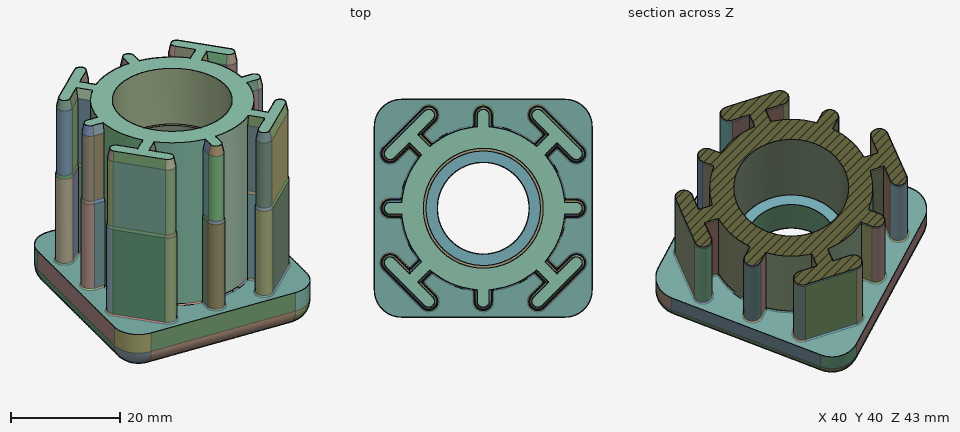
import cadquery as cq
import math

BASE_SIDE = 40.0
BASE_HEIGHT = 8.0
BASE_CORNER_RADIUS = 5.0
BASE_BOTTOM_FILLET = 4.0

TOTAL_HEIGHT = 43.0
TUBE_RADIUS = 15.0
COUNTERBORE_RADIUS = 11.0
COUNTERBORE_DEPTH = 12.0
BORE_RADIUS = 10.5
BORE_FLOOR_Z = BASE_HEIGHT
THROUGH_HOLE_RADIUS = 8.4

RIB_HALF_WIDTH = 1.67
STEP_INSET = 0.17
STEP_Z = 26.4
STEP_HEIGHT = 0.6
TIP_INSET = 0.42
TIP_HEIGHT = 2.0
FOOT_FILLET = 0.25

RIB_REACH = 18.75
RIB_INNER_CENTER = 13.0
RIB_OUTER_CENTER = RIB_REACH - RIB_HALF_WIDTH

PLATE_HALF_SPAN = 5.0
PLATE_DISTANCE = RIB_OUTER_CENTER * math.sqrt(2) - PLATE_HALF_SPAN
WEB_OVERLAP = 0.5
WEB_OUTER_CENTER = PLATE_DISTANCE - WEB_OVERLAP

QUARTER_TURNS = (0, 90, 180, 270)
FIRST_CORNER_ANGLE = 45


def make_base():
    return (
        cq.Workplane("XY")
        .rect(BASE_SIDE, BASE_SIDE)
        .extrude(BASE_HEIGHT)
        .edges("|Z")
        .fillet(BASE_CORNER_RADIUS)
        .faces("<Z")
        .edges()
        .fillet(BASE_BOTTOM_FILLET)
    )


def slot_stage(center, span, turn, half_width, bottom_z, height, inset=0.0):
    """Round-ended bar whose outline shrinks by `inset` over its height."""
    taper = math.degrees(math.atan2(inset, height))
    return (
        cq.Workplane("XY")
        .workplane(offset=bottom_z)
        .center(*center)
        .slot2D(span + 2 * half_width, 2 * half_width, turn)
        .extrude(height, taper=taper)
    )


def stepped_bar(center, span, turn):
    """Full-height bar; `span` is the distance between its round end centres."""
    upper_half_width = RIB_HALF_WIDTH - STEP_INSET
    upper_z = STEP_Z + STEP_HEIGHT
    tip_z = TOTAL_HEIGHT - TIP_HEIGHT
    lower = slot_stage(center, span, turn, RIB_HALF_WIDTH, BASE_HEIGHT, STEP_Z - BASE_HEIGHT)
    step = slot_stage(center, span, turn, RIB_HALF_WIDTH, STEP_Z, STEP_HEIGHT, STEP_INSET)
    upper = slot_stage(center, span, turn, upper_half_width, upper_z, tip_z - upper_z)
    tip = slot_stage(center, span, turn, upper_half_width, tip_z, TIP_HEIGHT, TIP_INSET)
    return lower.union(step).union(upper).union(tip)


def radial_bar(outer_center):
    """Bar along +X from inside the tube wall out to `outer_center`."""
    middle = (RIB_INNER_CENTER + outer_center) / 2
    return stepped_bar((middle, 0), outer_center - RIB_INNER_CENTER, 0)


def make_corner_rib():
    """T-shaped rib along +X: a radial web that carries a crosswise plate."""
    plate = stepped_bar((PLATE_DISTANCE, 0), 2 * PLATE_HALF_SPAN, 90)
    return radial_bar(WEB_OUTER_CENTER).union(plate)


def turned(shape, angle):
    return shape.rotate((0, 0, 0), (0, 0, 1), angle)


def make_ribbed_tube():
    tube = (
        cq.Workplane("XY")
        .workplane(offset=BASE_HEIGHT)
        .circle(TUBE_RADIUS)
        .extrude(TOTAL_HEIGHT - BASE_HEIGHT)
    )
    straight_rib = radial_bar(RIB_OUTER_CENTER)
    corner_rib = make_corner_rib()
    for angle in QUARTER_TURNS:
        tube = tube.union(turned(straight_rib, angle))
        tube = tube.union(turned(corner_rib, angle + FIRST_CORNER_ANGLE))
    return tube


def add_foot_fillet(body):
    """Round the inside corner where the tube and ribs stand on the base."""
    top_of_base = body.faces(cq.selectors.BoxSelector(
        (-BASE_SIDE, -BASE_SIDE, BASE_HEIGHT - FOOT_FILLET),
        (BASE_SIDE, BASE_SIDE, BASE_HEIGHT + FOOT_FILLET),
    )).faces("|Z")
    foot_edges = [edge for wire in top_of_base.val().innerWires() for edge in wire.Edges()]
    return body.newObject(foot_edges).fillet(FOOT_FILLET)


def bore_cutter(radius, bottom_z):
    return (
        cq.Workplane("XY")
        .workplane(offset=bottom_z)
        .circle(radius)
        .extrude(TOTAL_HEIGHT - bottom_z)
    )


def cut_bores(body):
    body = body.cut(bore_cutter(THROUGH_HOLE_RADIUS, 0))
    body = body.cut(bore_cutter(BORE_RADIUS, BORE_FLOOR_Z))
    return body.cut(bore_cutter(COUNTERBORE_RADIUS, TOTAL_HEIGHT - COUNTERBORE_DEPTH))


body = make_base().union(make_ribbed_tube())
body = add_foot_fillet(body)
result = cut_bores(body)